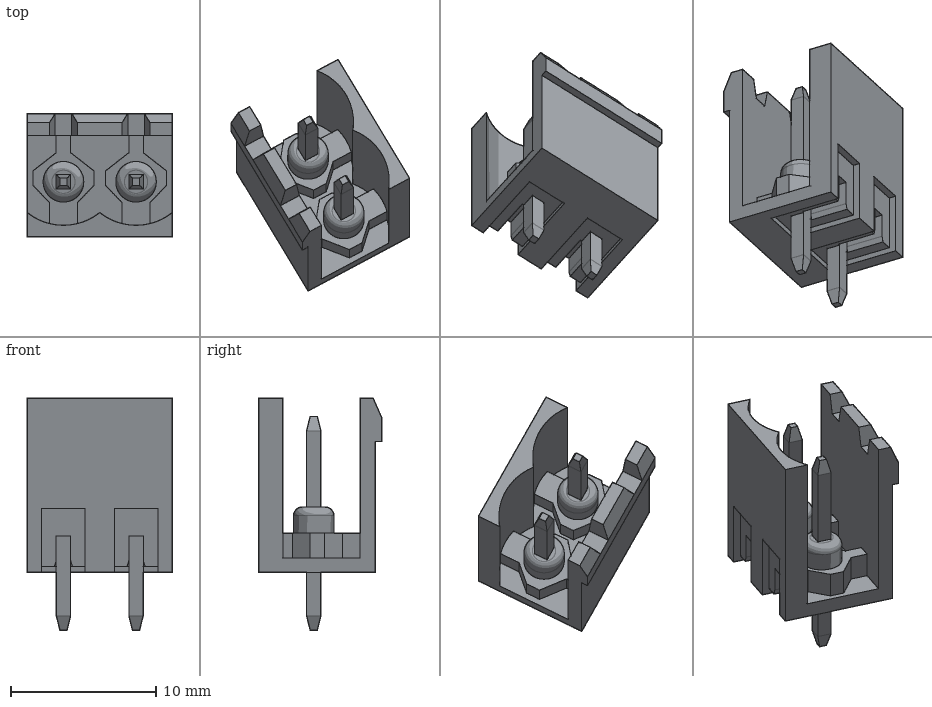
import cadquery as cq
import math


pitch = 5.0
pin_count = 2
housing_length = pitch * pin_count
pin_positions = [(i - (pin_count - 1) / 2) * pitch for i in range(pin_count)]

pin_width = 1.0
pin_half = pin_width / 2
pin_tip_width = 0.5
pin_taper_height = 1.0
pin_bottom = -4.0
pin_top = 10.75

housing_height = 12.0
floor_thickness = 1.0
front_outer = -3.8
back_inner = 3.2
back_outer = 4.25

scallop_radius = 4.0
scallop_bottom = -3.0
scallop_cusp = scallop_bottom + scallop_radius - math.sqrt(scallop_radius**2 - (pitch / 2) ** 2)

latch_outer = 4.7
latch_top_edge = 4.1
latch_bottom = 9.0
latch_bevel_start = 10.65

notch_top_half = 0.95
notch_bottom_half = 0.57

key_top = 2.7
key_body_half = 2.1
key_front_half = 0.95
key_back_half = 0.5
key_front_neck = -1.45
key_body_front = -0.25
key_body_back = 0.75
key_back_neck = 2.0

boss_diameter = 2.8
boss_top = 4.5
boss_round = 0.6

pocket_width = 3.0
pocket_height = 4.4
pocket_depth = 0.5
recess_height = 0.4
recess_back = pocket_width / 2
slot_top = 2.5
flare_half = 0.62
flare_top = 0.8


def box(x_center, width, y_range, z_range):
    """Block centred on x_center that spans the given Y and Z ranges."""
    y_min, y_max = y_range
    z_min, z_max = z_range
    return (
        cq.Workplane("XY", origin=(x_center, 0, z_min))
        .center(0, (y_min + y_max) / 2)
        .rect(width, y_max - y_min)
        .extrude(z_max - z_min)
    )


def extrude_along_y(outline, x_center, y_range):
    """Prism with an (X, Z) outline about x_center, running over a Y range."""
    y_min, y_max = y_range
    return (
        cq.Workplane("XZ", origin=(x_center, y_min, 0))
        .polyline(outline)
        .close()
        .extrude(y_min - y_max)
    )


def make_shell():
    """U-shaped channel: floor, front wall, and back wall with its latch ledge."""
    outline = [
        (front_outer, 0),
        (back_outer, 0),
        (back_outer, latch_bottom),
        (latch_outer, latch_bottom),
        (latch_outer, latch_bevel_start),
        (latch_top_edge, housing_height),
        (back_inner, housing_height),
        (back_inner, floor_thickness),
        (scallop_cusp, floor_thickness),
        (scallop_cusp, housing_height),
        (front_outer, housing_height),
    ]
    return (
        cq.Workplane("YZ", origin=(-housing_length / 2, 0, 0))
        .polyline(outline)
        .close()
        .extrude(housing_length)
    )


def make_scallop(x):
    """Cut that hollows the front wall by one shallow arc, down to the floor."""
    return (
        cq.Workplane("XY", origin=(x, 0, floor_thickness))
        .moveTo(-pitch / 2, scallop_cusp)
        .threePointArc((0, scallop_bottom), (pitch / 2, scallop_cusp))
        .close()
        .extrude(housing_height - floor_thickness)
    )


def make_notch(x):
    """Cut for a trapezoidal notch through the top of the back wall."""
    outline = [
        (-notch_bottom_half, latch_bevel_start),
        (notch_bottom_half, latch_bevel_start),
        (notch_top_half, housing_height),
        (-notch_top_half, housing_height),
    ]
    return extrude_along_y(outline, x, (back_inner, latch_outer))


def make_key_block(x):
    """Raised block that widens around the pin and reaches both walls."""
    front_end = scallop_bottom
    right_side = [
        (key_front_half, front_end),
        (key_front_half, key_front_neck),
        (key_body_half, key_body_front),
        (key_body_half, key_body_back),
        (key_back_half, key_back_neck),
        (key_back_half, back_inner),
    ]
    left_side = [(-px, py) for px, py in reversed(right_side)]
    return (
        cq.Workplane("XY", origin=(x, 0, floor_thickness))
        .polyline(right_side + left_side)
        .close()
        .extrude(key_top - floor_thickness)
    )


def make_boss(x):
    """Round collar with a rounded top edge."""
    return (
        cq.Workplane("XY", origin=(x, 0, key_top))
        .circle(boss_diameter / 2)
        .extrude(boss_top - key_top)
        .faces(">Z")
        .edges()
        .fillet(boss_round)
    )


def make_front_pocket(x):
    """Cut for the front pocket and the underside recess that continues it."""
    pocket_back = front_outer + pocket_depth
    pocket = box(x, pocket_width, (front_outer, pocket_back), (0, pocket_height))
    recess = box(x, pocket_width, (front_outer, recess_back), (0, recess_height))
    return pocket.union(recess)


def make_pin_slot(x):
    """Cut for the slot from the pocket to the pin, flared at its lower edge."""
    outline = [
        (-flare_half, recess_height),
        (flare_half, recess_height),
        (pin_half, flare_top),
        (pin_half, slot_top),
        (-pin_half, slot_top),
        (-pin_half, flare_top),
    ]
    return extrude_along_y(outline, x, (front_outer, -pin_half))


def make_pin_hole(x):
    """Cut for the square hole that holds the pin."""
    return box(x, pin_width, (-pin_half, pin_half), (0, boss_top))


def make_housing():
    """Complete housing with the features of every pin position."""
    housing = make_shell()
    for x in pin_positions:
        housing = housing.cut(make_scallop(x)).cut(make_notch(x))
        housing = housing.union(make_key_block(x)).union(make_boss(x))
        housing = housing.cut(make_front_pocket(x)).cut(make_pin_slot(x)).cut(make_pin_hole(x))
    return housing


def make_pin(x):
    """Straight square pin with a blunt pyramid tip at each end."""
    shaft_bottom = pin_bottom + pin_taper_height
    shaft_top = pin_top - pin_taper_height
    shaft = box(x, pin_width, (-pin_half, pin_half), (shaft_bottom, shaft_top))
    for shaft_end, tip_end in [(shaft_bottom, pin_bottom), (shaft_top, pin_top)]:
        tip = (
            cq.Workplane("XY", origin=(x, 0, shaft_end))
            .rect(pin_width, pin_width)
            .workplane(offset=tip_end - shaft_end)
            .rect(pin_tip_width, pin_tip_width)
            .loft(ruled=True)
        )
        shaft = shaft.union(tip)
    return shaft


housing = make_housing()
pins = [make_pin(x) for x in pin_positions]

result = cq.Compound.makeCompound([body.solids().val() for body in [housing, *pins]])